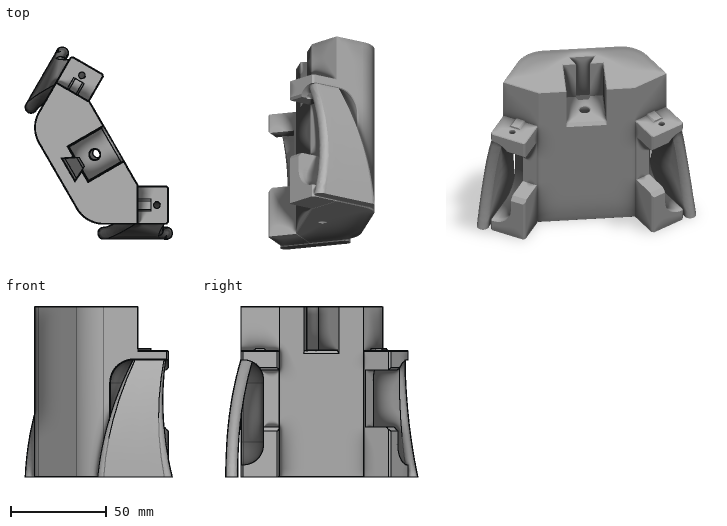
import cadquery as cq
import math

SYMMETRY_ANGLE = 30.0
MIRROR_NORMAL = (-math.sin(math.radians(SYMMETRY_ANGLE)), math.cos(math.radians(SYMMETRY_ANGLE)), 0)

HEIGHT = 89.0
COLUMN_END = 22.6
FRONT_Y = -36.3
BACK_WALL_DEPTH = -22.3
INNER_WALL_DEPTH = 11.5
CORNER_RADIUS = 16.0
EDGE_CHAMFER = 0.4

SLOT_WIDTH = 20.9
SLOT_BACK_DEPTH = -9.9
SLOT_FLOOR = 66.0
SLOT_LIP_CHAMFER = 1.6
SCREW_HOLE_DIAMETER = 5.4
SCREW_HOLE_MOUTH_DIAMETER = 6.2
LOWER_HOLE_DIAMETER = 4.7
LOWER_HOLE_OFFSET = 1.6
SCREW_HOLE_FLOOR = 60.1

DOVETAIL_BACK_DEPTH = -15.6
DOVETAIL_FRONT_DEPTH = -7.7
DOVETAIL_BACK_WIDTH = 13.0
DOVETAIL_FRONT_WIDTH = 5.4
DOVETAIL_FLOOR = 61.1
DOVETAIL_CHAMFER = 1.2

ARM_END = 38.4
ARM_BACK_Y = -16.4
SHELF_TOP = 66.0
ARM_CORNER_CHAMFER = 1.0
SHELF_HOLE_X = 32.4
SHELF_HOLE_DIAMETER = 3.4
PAD_END = 29.3
PAD_WIDTH = 6.3
PAD_HEIGHT = 1.0

RECESS_SIDE_X = 8.2
RECESS_DEPTH = 11.8
RECESS_FLOOR = 6.4
RECESS_CEILING = 61.1
ARCH_RADIUS = 12.0
RECESS_FILLET = 10.5

WINDOW_SIDE_X = 23.7
WINDOW_BOTTOM = 26.2
WINDOW_TOP = 55.8
WINDOW_BOTTOM_CHAMFER = 2.2
WINDOW_TOP_CHAMFER = 1.2

LEG_THICKNESS = 6.2
LEG_TOP = RECESS_CEILING
LEG_FRONT_Y = -44.1
LEG_LEAN = 7.8
LEAN_POWER = 2.3
LEG_LEFT_X = 4.7
LEG_LEFT_SLOPE = 3.9
LEG_LEFT_CURVE = 12.4
LEG_WAIST_X = 33.3
LEG_WAIST_Z = 31.1
LEG_FLARE = 0.003093
LEFT_BULGE_FOOT = 3.1
LEFT_BULGE_TOP = 1.1
RIGHT_BULGE_FOOT = 4.2
RIGHT_BULGE_TOP = 0.9
LEG_SECTIONS = 5

arm_mid_y = (FRONT_Y + ARM_BACK_Y) / 2


def mirrored(shape):
    """Copy of a shape on the other side of the symmetry plane."""
    return shape.mirror(MIRROR_NORMAL, (0, 0, 0))


def along_symmetry(z):
    """Sketch plane at height z whose x axis follows the symmetry plane."""
    return cq.Workplane("XY").transformed(offset=(0, 0, z), rotate=(0, 0, SYMMETRY_ANGLE))


def side_profile(points, width):
    """Prism across the symmetry plane, from (depth, z) points."""
    return (
        cq.Workplane("XZ")
        .polyline(points)
        .close()
        .extrude(width / 2, both=True)
        .rotate((0, 0, 0), (0, 0, 1), SYMMETRY_ANGLE)
    )


def plan_point(depth, x=None, y=None):
    """Plan point at a given depth and either a given x or a given y."""
    cosine = math.cos(math.radians(SYMMETRY_ANGLE))
    sine = math.sin(math.radians(SYMMETRY_ANGLE))
    if x is None:
        return ((depth - y * sine) / cosine, y)
    return (x, (depth - x * cosine) / sine)


def mirrored_point(point):
    """Plan point on the other side of the symmetry plane."""
    x, y = point
    double = math.radians(2 * SYMMETRY_ANGLE)
    return (x * math.cos(double) + y * math.sin(double), x * math.sin(double) - y * math.cos(double))


def make_column():
    """Bent prism with two rounded outer corners."""
    corner = plan_point(BACK_WALL_DEPTH, y=FRONT_Y)
    half = [corner, (COLUMN_END, FRONT_Y), plan_point(INNER_WALL_DEPTH, x=COLUMN_END)]
    other_half = [mirrored_point(point) for point in reversed(half)]
    column = cq.Workplane("XY").polyline(half + other_half).close().extrude(HEIGHT)
    for point in (corner, mirrored_point(corner)):
        nearest = cq.selectors.NearestToPointSelector((*point, HEIGHT / 2))
        column = column.edges("|Z").edges(nearest).fillet(CORNER_RADIUS)
    return column


def make_slot():
    length = INNER_WALL_DEPTH - SLOT_BACK_DEPTH
    return (
        along_symmetry(SLOT_FLOOR)
        .center(SLOT_BACK_DEPTH + length / 2, 0)
        .rect(length, SLOT_WIDTH)
        .extrude(HEIGHT - SLOT_FLOOR)
        .faces("<Z")
        .edges()
        .chamfer(EDGE_CHAMFER)
    )


def make_dovetail():
    """Tapered pocket whose floor is bevelled up at the back and down at the front."""
    plan = (
        along_symmetry(0)
        .polyline([
            (DOVETAIL_BACK_DEPTH, -DOVETAIL_BACK_WIDTH / 2),
            (DOVETAIL_FRONT_DEPTH, -DOVETAIL_FRONT_WIDTH / 2),
            (DOVETAIL_FRONT_DEPTH, DOVETAIL_FRONT_WIDTH / 2),
            (DOVETAIL_BACK_DEPTH, DOVETAIL_BACK_WIDTH / 2),
        ])
        .close()
        .extrude(HEIGHT)
    )
    profile = side_profile(
        [
            (DOVETAIL_BACK_DEPTH, HEIGHT),
            (DOVETAIL_BACK_DEPTH, DOVETAIL_FLOOR + DOVETAIL_CHAMFER),
            (DOVETAIL_BACK_DEPTH + DOVETAIL_CHAMFER, DOVETAIL_FLOOR),
            (DOVETAIL_FRONT_DEPTH - DOVETAIL_CHAMFER, DOVETAIL_FLOOR),
            (DOVETAIL_FRONT_DEPTH, DOVETAIL_FLOOR - DOVETAIL_CHAMFER),
            (DOVETAIL_FRONT_DEPTH, HEIGHT),
        ],
        DOVETAIL_BACK_WIDTH,
    )
    return plan.intersect(profile)


def make_slot_lip():
    """Wedge that bevels the open edge of the slot floor."""
    return side_profile(
        [
            (INNER_WALL_DEPTH - SLOT_LIP_CHAMFER, SLOT_FLOOR + EDGE_CHAMFER),
            (INNER_WALL_DEPTH - SLOT_LIP_CHAMFER, SLOT_FLOOR),
            (INNER_WALL_DEPTH, SLOT_FLOOR - SLOT_LIP_CHAMFER),
            (INNER_WALL_DEPTH, SLOT_FLOOR + EDGE_CHAMFER),
        ],
        SLOT_WIDTH,
    )


def make_screw_hole():
    """Stepped hole with an off-centre lower bore and a bevelled mouth."""
    radius = SCREW_HOLE_DIAMETER / 2
    upper = (
        cq.Workplane("XY", (0, 0, SCREW_HOLE_FLOOR))
        .circle(radius)
        .extrude(SLOT_FLOOR - SCREW_HOLE_FLOOR)
    )
    mouth = (
        cq.Workplane("XY", (0, 0, SLOT_FLOOR - EDGE_CHAMFER))
        .circle(radius)
        .workplane(offset=EDGE_CHAMFER)
        .circle(SCREW_HOLE_MOUTH_DIAMETER / 2)
        .loft()
    )
    lower = (
        along_symmetry(0)
        .center(LOWER_HOLE_OFFSET, 0)
        .circle(LOWER_HOLE_DIAMETER / 2)
        .extrude(SCREW_HOLE_FLOOR)
    )
    return upper.union(mouth).union(lower)


def make_arm():
    """Block from the foot to the shelf top; the recess and window leave its shelf and back wall."""
    return (
        cq.Workplane("XY")
        .moveTo((COLUMN_END + ARM_END) / 2, arm_mid_y)
        .rect(ARM_END - COLUMN_END, ARM_BACK_Y - FRONT_Y)
        .extrude(SHELF_TOP)
        .edges("|Z and >X")
        .chamfer(ARM_CORNER_CHAMFER)
        .faces(">Z")
        .edges("not <X")
        .chamfer(EDGE_CHAMFER)
    )


def make_pad():
    """Low rib with sloped sides on the shelf."""
    top_width = PAD_WIDTH - 2 * PAD_HEIGHT
    return (
        cq.Workplane("YZ", (COLUMN_END, arm_mid_y, SHELF_TOP))
        .polyline([
            (-PAD_WIDTH / 2, 0),
            (PAD_WIDTH / 2, 0),
            (top_width / 2, PAD_HEIGHT),
            (-top_width / 2, PAD_HEIGHT),
        ])
        .close()
        .extrude(PAD_END - COLUMN_END)
    )


def make_recess():
    """Space for a leg, open at the front and at the arm end, with arched inner corners."""
    length = ARM_END - RECESS_SIDE_X
    block = (
        cq.Workplane("XY")
        .box(2 * length, 2 * RECESS_DEPTH, RECESS_CEILING - RECESS_FLOOR, centered=(False, True, False))
        .translate((RECESS_SIDE_X, FRONT_Y, RECESS_FLOOR))
        .edges("|Y and <X")
        .fillet(ARCH_RADIUS)
    )
    block = block.faces(">Y").edges("not >X").fillet(RECESS_FILLET)
    rim_outline = (
        cq.Sketch()
        .rect(2 * (length + EDGE_CHAMFER), RECESS_CEILING - RECESS_FLOOR + 2 * EDGE_CHAMFER)
        .vertices()
        .fillet(ARCH_RADIUS + EDGE_CHAMFER)
    )
    rim = (
        cq.Workplane("XZ", (ARM_END, FRONT_Y, (RECESS_FLOOR + RECESS_CEILING) / 2))
        .placeSketch(rim_outline)
        .extrude(-EDGE_CHAMFER, taper=45)
    )
    return block.union(rim)


def make_window():
    """Opening through the back wall, out to the arm end, with bevelled outer corners."""
    return (
        cq.Workplane("XZ", (0, FRONT_Y, 0))
        .polyline([
            (WINDOW_SIDE_X, WINDOW_BOTTOM),
            (ARM_END - WINDOW_BOTTOM_CHAMFER, WINDOW_BOTTOM),
            (ARM_END, WINDOW_BOTTOM - WINDOW_BOTTOM_CHAMFER),
            (ARM_END, WINDOW_TOP + WINDOW_TOP_CHAMFER),
            (ARM_END - WINDOW_TOP_CHAMFER, WINDOW_TOP),
            (WINDOW_SIDE_X, WINDOW_TOP),
        ])
        .close()
        .extrude(FRONT_Y - ARM_BACK_Y)
    )


def make_shelf_hole():
    return (
        cq.Workplane("XY", (SHELF_HOLE_X, arm_mid_y, WINDOW_TOP))
        .circle(SHELF_HOLE_DIAMETER / 2)
        .extrude(SHELF_TOP - WINDOW_TOP)
    )


def make_housing():
    """Column with two arms, each hollowed by a recess for a leg."""
    column = make_column().cut(make_slot()).cut(make_dovetail())
    column = column.faces("<Z or >Z").edges().chamfer(EDGE_CHAMFER)
    column = column.cut(make_slot_lip()).cut(make_screw_hole())
    arm = make_arm().union(make_pad())
    cutters = [make_recess(), make_window(), make_shelf_hole()]
    housing = column.union(arm).union(mirrored(arm))
    for cutter in cutters:
        housing = housing.cut(cutter).cut(mirrored(cutter))
    return housing


def leg_section(z):
    """Outline at height z: flat front and back, with an arc at each side."""
    rise = z / LEG_TOP
    front = LEG_FRONT_Y + LEG_LEAN * rise ** LEAN_POWER
    back = front + LEG_THICKNESS
    middle = (front + back) / 2
    left = LEG_LEFT_X + LEG_LEFT_SLOPE * rise + LEG_LEFT_CURVE * rise ** 2
    right = LEG_WAIST_X + LEG_FLARE * (z - LEG_WAIST_Z) ** 2
    left_bulge = LEFT_BULGE_FOOT + (LEFT_BULGE_TOP - LEFT_BULGE_FOOT) * rise
    right_bulge = RIGHT_BULGE_FOOT + (RIGHT_BULGE_TOP - RIGHT_BULGE_FOOT) * rise
    return (
        cq.Workplane("XY", (0, 0, z))
        .moveTo(left, front)
        .lineTo(right, front)
        .threePointArc((right + right_bulge, middle), (right, back))
        .lineTo(left, back)
        .threePointArc((left - left_bulge, middle), (left, front))
        .close()
        .val()
    )


def make_leg(housing):
    """Curved leg that reaches up into the recess and ends on the recess surface."""
    heights = [LEG_TOP * step / (LEG_SECTIONS - 1) for step in range(LEG_SECTIONS)]
    leg = cq.Workplane(cq.Solid.makeLoft([leg_section(z) for z in heights]))
    return leg.cut(housing)


housing = make_housing()
leg = make_leg(housing)
legs = [leg, mirrored(leg)]
result = cq.Compound.makeCompound([housing.val()] + [each_leg.val() for each_leg in legs])